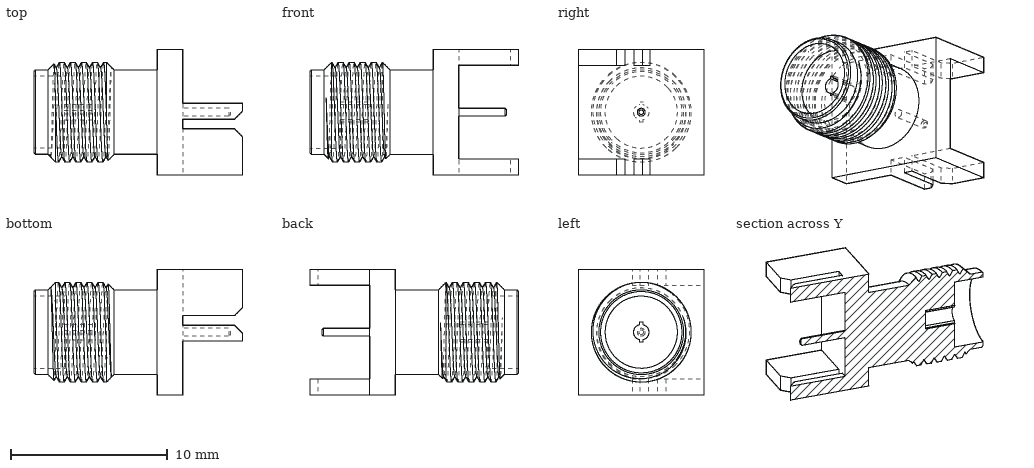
import cadquery as cq
import math

total_length = 13.3
flange_size = 8.0
flange_start = 7.85
flange_thickness = 1.65

barrel_radius = 2.7
nose_chamfer = 0.1
thread_radius = 3.18
thread_start = 0.9
thread_end = 5.11
thread_chamfer = thread_radius - barrel_radius

thread_pitch = 0.7
groove_depth = 0.35
groove_half_angle = math.radians(30)
groove_overcut = 0.08
groove_start = 0.55
groove_turns = 7

socket_radius = 2.3
socket_depth = 1.94
contact_radius = 0.64
contact_hole_radius = 0.49
contact_hole_depth = 2.0
contact_slot_width = 0.21

leg_thickness = 1.02
leg_tip_chamfer = 0.52
wide_leg_edge = -1.05
narrow_leg_edge = -0.45
narrow_leg_width = leg_thickness

pin_radius = 0.25
pin_end = 12.54
pin_chamfer = 0.1


def disc(radius, start, end):
    """Solid cylinder on the X axis between two stations."""
    return cq.Workplane("YZ", origin=(start, 0, 0)).circle(radius).extrude(end - start)


def make_thread_groove():
    """Right-handed helical V groove, swept along Z and then turned onto X."""
    root_radius = thread_radius - groove_depth
    mouth_radius = thread_radius + groove_overcut
    mouth_half_width = (mouth_radius - root_radius) * math.tan(groove_half_angle)
    helix = cq.Wire.makeHelix(thread_pitch, groove_turns * thread_pitch, root_radius)
    groove = (
        cq.Workplane("XZ")
        .polyline([
            (root_radius, 0),
            (mouth_radius, mouth_half_width),
            (mouth_radius, -mouth_half_width),
        ])
        .close()
        .sweep(cq.Workplane(helix), isFrenet=True)
    )
    return groove.rotate((0, 0, 0), (0, 1, 0), 90).translate((groove_start, 0, 0))


def make_collar():
    """Threaded collar: the grooved cylinder trimmed to a chamfered envelope."""
    blank = disc(thread_radius, thread_start, thread_end)
    envelope = blank.faces("<X or >X").chamfer(thread_chamfer)
    return envelope.intersect(blank.cut(make_thread_groove()))


def make_barrel():
    barrel = disc(barrel_radius, 0, flange_start).faces("<X").chamfer(nose_chamfer)
    return barrel.union(make_collar())


def make_flange():
    return (
        cq.Workplane("YZ", origin=(flange_start, 0, 0))
        .rect(flange_size, flange_size)
        .extrude(flange_thickness)
    )


def make_leg_pair(bottom):
    """A wide and a narrow leg with facing tip corners chamfered to guide a board in."""
    outer_edge = -flange_size / 2
    narrow_leg_far_edge = narrow_leg_edge + narrow_leg_width
    chamfer_start = total_length - leg_tip_chamfer
    plane = cq.Workplane("XY", origin=(0, 0, bottom))
    wide_leg = plane.polyline([
        (flange_start, outer_edge),
        (total_length, outer_edge),
        (total_length, wide_leg_edge - leg_tip_chamfer),
        (chamfer_start, wide_leg_edge),
        (flange_start, wide_leg_edge),
    ]).close().extrude(leg_thickness)
    narrow_leg = plane.polyline([
        (flange_start, narrow_leg_edge),
        (chamfer_start, narrow_leg_edge),
        (total_length, narrow_leg_edge + leg_tip_chamfer),
        (total_length, narrow_leg_far_edge),
        (flange_start, narrow_leg_far_edge),
    ]).close().extrude(leg_thickness)
    return wide_leg.union(narrow_leg)


def make_pin():
    return disc(pin_radius, flange_start, pin_end).faces(">X").chamfer(pin_chamfer)


def make_socket():
    """Bore with a slotted contact hole sunk in its floor."""
    contact_floor = socket_depth + contact_hole_depth
    bore = disc(socket_radius, 0, socket_depth)
    contact_hole = disc(contact_hole_radius, socket_depth, contact_floor)
    slot = (
        cq.Workplane("YZ", origin=(socket_depth, 0, 0))
        .rect(contact_slot_width, 2 * contact_radius)
        .extrude(contact_hole_depth)
    )
    return bore.union(contact_hole).union(slot)


result = make_barrel().union(make_flange())
for leg_bottom in (-flange_size / 2, flange_size / 2 - leg_thickness):
    result = result.union(make_leg_pair(leg_bottom))
result = result.union(make_pin()).cut(make_socket())